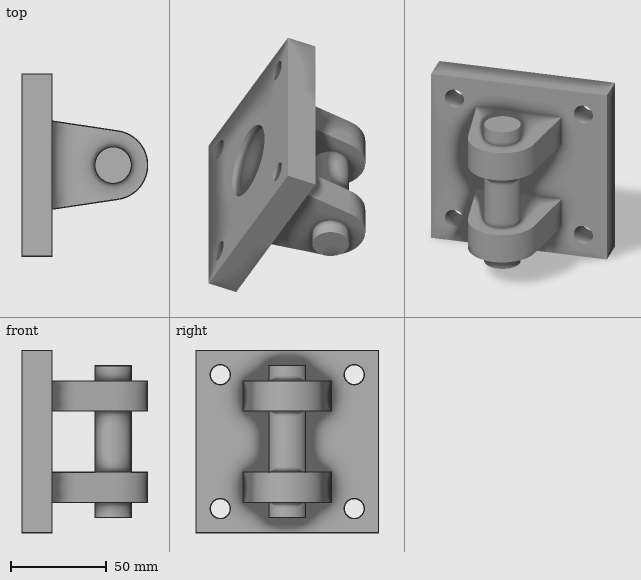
import cadquery as cq
import math

plate_size = 95.25
plate_thickness = 15.875

bolt_hole_diameter = 10.32
bolt_hole_spacing = 69.85

recess_diameter = 39.0
recess_depth = 4.3

lug_thickness = 15.875
lug_gap = 31.75
lug_root_width = 46.04
lug_end_radius = 18.07

pin_diameter = 19.05
pin_length = 79.375
pin_x = 47.625


def make_lug(bottom_z):
    """Lug whose straight sides run tangent into its round end."""
    root_y = lug_root_width / 2
    root_to_pin = pin_x - plate_thickness
    corner_to_pin = math.hypot(root_to_pin, root_y)
    taper_angle = math.atan2(root_y, root_to_pin) - math.asin(lug_end_radius / corner_to_pin)
    tangent_x = pin_x + lug_end_radius * math.sin(taper_angle)
    tangent_y = lug_end_radius * math.cos(taper_angle)
    return (
        cq.Workplane("XY", origin=(0, 0, bottom_z))
        .moveTo(plate_thickness, -root_y)
        .lineTo(tangent_x, -tangent_y)
        .threePointArc((pin_x + lug_end_radius, 0), (tangent_x, tangent_y))
        .lineTo(plate_thickness, root_y)
        .close()
        .extrude(lug_thickness)
    )


def make_pin():
    return (
        cq.Workplane("XY", origin=(pin_x, 0, -pin_length / 2))
        .circle(pin_diameter / 2)
        .extrude(pin_length)
    )


def make_bracket():
    """Plate with bolt holes and recess, joined to the two bored lugs."""
    plate = cq.Workplane("YZ").rect(plate_size, plate_size).extrude(plate_thickness)
    bolt_holes = (
        cq.Workplane("YZ")
        .rect(bolt_hole_spacing, bolt_hole_spacing, forConstruction=True)
        .vertices()
        .circle(bolt_hole_diameter / 2)
        .extrude(plate_thickness)
    )
    recess = cq.Workplane("YZ").circle(recess_diameter / 2).extrude(recess_depth)
    bracket = plate.cut(bolt_holes).cut(recess)
    for bottom_z in (lug_gap / 2, -lug_gap / 2 - lug_thickness):
        bracket = bracket.union(make_lug(bottom_z))
    return bracket.cut(make_pin())


bracket = make_bracket()
pin = make_pin()

result = cq.Compound.makeCompound([bracket.solids().val(), pin.val()])